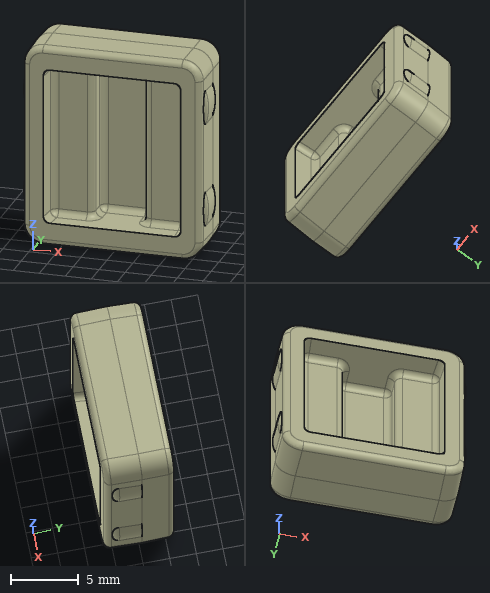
import cadquery as cq
import math

body_width = 13.81
body_height = 15.8
front_depth = 2.8
back_depth = 2.5
body_draft = 1.3
corner_radius = 1.5
edge_radius = 0.5

pocket_width = 10.55
pocket_height = 12.09
ledge_depth = 1.82
channel_width = 3.9
channel_depth = 3.79
pocket_draft = 5.0
pocket_radius = 0.5

overall_width = 14.2
bump_spacing = 8.01
bump_chord = 2.55
bump_nose_radius = 0.7
bump_length = 2.4
bump_draft = 0.7
bump_root = 0.32

front_y = -front_depth


def shell(depth):
    """Tapered half of the body; a negative depth goes towards +Y."""
    return (
        cq.Workplane("XZ")
        .rect(body_width, body_height)
        .extrude(depth, taper=body_draft)
        .edges("not (|X or |Z)")
        .fillet(corner_radius)
    )


def make_body():
    front = shell(front_depth).faces("<Y").edges().fillet(edge_radius)
    back = shell(-back_depth).faces(">Y").edges().fillet(edge_radius)
    return front.union(back)


def make_pocket():
    mouth_half = pocket_width / 2
    ledge_half = mouth_half - ledge_depth * math.tan(math.radians(pocket_draft))
    channel_half = channel_width / 2
    ledge_y = front_y + ledge_depth
    channel_y = front_y + channel_depth
    section = [
        (-mouth_half, front_y),
        (-ledge_half, ledge_y),
        (-channel_half, ledge_y),
        (-channel_half, channel_y),
        (channel_half, channel_y),
        (channel_half, ledge_y),
        (ledge_half, ledge_y),
        (mouth_half, front_y),
    ]
    pocket = (
        cq.Workplane("XY")
        .workplane(offset=-pocket_height / 2)
        .polyline(section)
        .close()
        .extrude(pocket_height)
    )
    return pocket.edges("not <Y").fillet(pocket_radius)


def make_bump(side, z):
    """Cylinder segment along Y with a rounded nose; side is +1 or -1."""
    sag = (overall_width - body_width) / 2
    radius = ((bump_chord / 2) ** 2 + sag**2) / (2 * sag)
    axis_x = side * (overall_width / 2 - radius)
    cylinder = (
        cq.Workplane("XZ")
        .center(axis_x, z)
        .circle(radius)
        .extrude(bump_length, taper=bump_draft)
        .faces("<Y")
        .edges()
        .fillet(bump_nose_radius)
    )
    segment_thickness = 2 * sag + bump_root
    segment = cq.Workplane("XY").box(segment_thickness, 2 * bump_length, 2 * bump_chord)
    segment_x = side * (overall_width - segment_thickness) / 2
    return cylinder.intersect(segment.translate((segment_x, 0, z)))


result = make_body()
for side in (-1, 1):
    for z in (-bump_spacing / 2, bump_spacing / 2):
        result = result.union(make_bump(side, z))
result = result.cut(make_pocket())